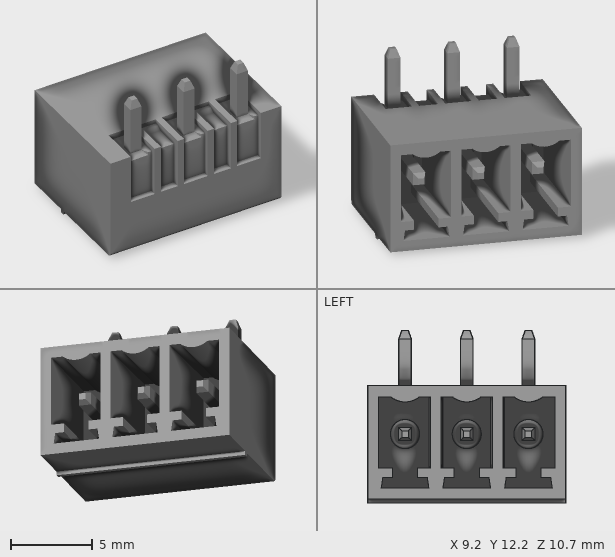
import cadquery as cq


length = 9.2
width = 12.23
height = 7.01
rear_corner_radius = 0.25
pitch = 3.8
cell_centers = [-pitch, 0.0, pitch]

rib_start = 3.17
rib_tip_length = 0.32
rib_root_length = 0.43
rib_height = 0.25

cavity_depth = 6.5
cavity_top = height - 0.71
cavity_bottom = 1.92
outer_wall_offset = 1.63
partition_mouth_offset = 1.58
partition_back_offset = 1.47
key_half_width = 0.88
key_drop = 0.3

neck_half_width = 0.78
neck_bottom = 1.35
foot_top_half_width = 1.37
foot_bottom_half_width = 1.47
foot_bottom = 0.67

pin_size = 0.8
pin_tip_size = 0.4
pin_tip_length = 0.54
pin_axis_z = 4.01
pin_axis_x = 7.99
pin_front = 1.2
pin_top = height + 3.4
pin_rear = pin_axis_x + pin_size / 2
pin_underside = pin_axis_z - pin_size / 2
boss_diameter = 1.8
boss_rounding = 0.23
boss_length = 0.5

pocket_start = cavity_depth
pocket_width = 1.7
pocket_floor = height - 0.4
pocket_floor_end = 8.8
flare_end_width = 1.25
flare_drop = 0.22

slot_width = 1.21
slot_shelf_end = 6.79
slot_floor_start = 7.07
slot_floor_end = 8.71
slot_shelf = height - 0.3
slot_floor = height - 0.5

ledge_z = pin_underside


def block(x_range, y_center, y_size, z_range):
    """Box spanning two x and two z limits, centred on y_center."""
    x0, x1 = x_range
    z0, z1 = z_range
    return (
        cq.Workplane("XY")
        .box(x1 - x0, y_size, z1 - z0, centered=(False, True, False))
        .translate((x0, y_center, z0))
    )


def side_profile(points, y_center, y_size):
    """Outline in x and z, extruded symmetrically along y."""
    prism = cq.Workplane("XZ").polyline(points).close().extrude(y_size / 2, both=True)
    return prism.translate((0, y_center, 0))


def housing():
    body = block((0, length), 0, width, (0, height))
    body = body.edges("|Y and >X and <Z").fillet(rear_corner_radius)
    rib = side_profile(
        [
            (rib_start, 0),
            (rib_start, -rib_height),
            (rib_start + rib_tip_length, -rib_height),
            (rib_start + rib_root_length, 0),
        ],
        0,
        width,
    )
    return body.union(rib)


def cavity(y):
    """Plug cavity with drafted partitions, a curved key on its roof and a keyway below."""
    at_low_end = y == cell_centers[0]
    at_high_end = y == cell_centers[-1]
    low_mouth = outer_wall_offset if at_low_end else partition_mouth_offset
    low_back = outer_wall_offset if at_low_end else partition_back_offset
    high_mouth = outer_wall_offset if at_high_end else partition_mouth_offset
    high_back = outer_wall_offset if at_high_end else partition_back_offset
    chamber = (
        cq.Workplane("XY")
        .workplane(offset=cavity_bottom)
        .polyline(
            [
                (0, y - low_mouth),
                (cavity_depth, y - low_back),
                (cavity_depth, y + high_back),
                (0, y + high_mouth),
            ]
        )
        .close()
        .extrude(cavity_top - cavity_bottom)
    )
    key_radius = (key_half_width**2 + key_drop**2) / (2 * key_drop)
    key = (
        cq.Workplane("YZ")
        .center(y, cavity_top - key_drop + key_radius)
        .circle(key_radius)
        .extrude(cavity_depth)
    )
    keyway = (
        cq.Workplane("YZ")
        .center(y, 0)
        .polyline(
            [
                (-neck_half_width, cavity_bottom),
                (-neck_half_width, neck_bottom),
                (-foot_top_half_width, neck_bottom),
                (-foot_bottom_half_width, foot_bottom),
                (foot_bottom_half_width, foot_bottom),
                (foot_top_half_width, neck_bottom),
                (neck_half_width, neck_bottom),
                (neck_half_width, cavity_bottom),
            ]
        )
        .close()
        .extrude(cavity_depth)
    )
    return chamber.cut(key).union(keyway)


def pin_pocket(y):
    """Pocket with a flared ramp behind the pin and a deeper recess at the rear."""
    pocket = block((pocket_start, length), y, pocket_width, (pocket_floor, height))
    recess = block((pocket_floor_end, length), y, pocket_width, (ledge_z, height))
    flare_plan = (
        cq.Workplane("XY")
        .workplane(offset=pocket_floor - flare_drop)
        .polyline(
            [
                (pin_rear, y - pin_size / 2),
                (pocket_floor_end, y - flare_end_width / 2),
                (pocket_floor_end, y + flare_end_width / 2),
                (pin_rear, y + pin_size / 2),
            ]
        )
        .close()
        .extrude(flare_drop)
    )
    ramp = side_profile(
        [
            (pin_rear, pocket_floor),
            (pocket_floor_end, pocket_floor),
            (pocket_floor_end, pocket_floor - flare_drop),
        ],
        y,
        pocket_width,
    )
    return pocket.union(recess).union(flare_plan.intersect(ramp))


def spacer_slot(y):
    """Slot that steps down from a shelf over a ramp to its floor, then to the rear ledge."""
    return side_profile(
        [
            (pocket_start, height),
            (pocket_start, slot_shelf),
            (slot_shelf_end, slot_shelf),
            (slot_floor_start, slot_floor),
            (slot_floor_end, slot_floor),
            (slot_floor_end, ledge_z),
            (length, ledge_z),
            (length, height),
        ],
        y,
        slot_width,
    )


def boss(y):
    """Round collar on the cavity's back wall, rounded at its front rim."""
    collar = (
        cq.Workplane("YZ")
        .workplane(offset=cavity_depth - boss_length)
        .center(y, pin_axis_z)
        .circle(boss_diameter / 2)
        .extrude(boss_length)
    )
    return collar.faces("<X").edges().fillet(boss_rounding)


def pin_leg(start, direction, leg_length):
    """Square leg with a tapered tip, running from start along direction."""
    plane = cq.Plane(origin=start, xDir=(0, 1, 0), normal=direction)
    shank_length = leg_length - pin_tip_length
    shank = cq.Workplane(plane).rect(pin_size, pin_size).extrude(shank_length)
    tip = (
        cq.Workplane(plane)
        .workplane(offset=shank_length)
        .rect(pin_size, pin_size)
        .workplane(offset=pin_tip_length)
        .rect(pin_tip_size, pin_tip_size)
        .loft(combine=True)
    )
    return shank.union(tip)


def bent_pin(y):
    """Contact leg towards the mating side joined to an upright solder leg."""
    contact_leg = pin_leg((pin_rear, y, pin_axis_z), (-1, 0, 0), pin_rear - pin_front)
    solder_leg = pin_leg((pin_axis_x, y, pin_underside), (0, 0, 1), pin_top - pin_underside)
    return contact_leg.union(solder_leg)


result = housing()
for cell_y in cell_centers:
    result = result.cut(cavity(cell_y)).cut(pin_pocket(cell_y))
for slot_y in (-pitch / 2, pitch / 2):
    result = result.cut(spacer_slot(slot_y))
for cell_y in cell_centers:
    result = result.union(boss(cell_y)).union(bent_pin(cell_y))